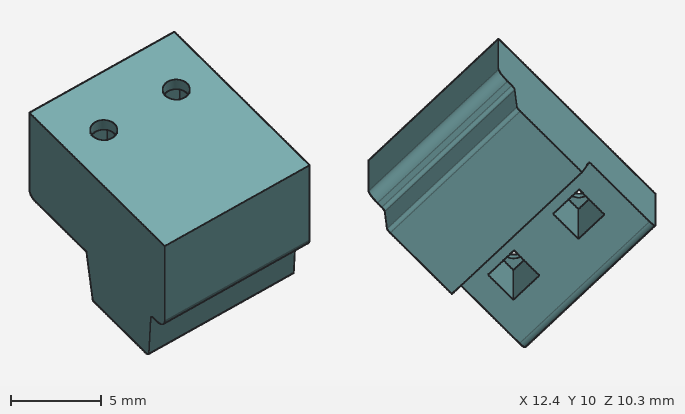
import cadquery as cq

LENGTH = 12.4
DEPTH = 10.0
HEIGHT = 10.3
FOOT_HEIGHT = 3.5

FOOT_LEFT_TOP = 5.22
FOOT_LEFT_BOTTOM = 5.8
FOOT_RIGHT_TOP = 11.14
FOOT_RIGHT_BOTTOM = 10.94

LEFT_CORNER_RADIUS = 0.5
RIGHT_CORNER_RADIUS = 0.7
FOOT_ROOT_RADIUS = 0.25
FOOT_TIP_RADIUS = 0.25

HOLE_DIAMETER = 1.5
HOLE_X = 3.5
HOLE_SPACING = 5.0
HOLE_DEPTH = 0.8
POCKET_WIDTH = 2.0


def round_edge(body, x, z, radius):
    """Fillet the edge along Y that passes through (x, z)."""
    return body.edges(cq.NearestToPointSelector((x, DEPTH / 2, z))).fillet(radius)


def make_body():
    """Block with a tapered foot, as one profile extruded along Y from Y = 0."""
    outline = [
        (0, HEIGHT),
        (0, FOOT_HEIGHT),
        (FOOT_LEFT_TOP, FOOT_HEIGHT),
        (FOOT_LEFT_BOTTOM, 0),
        (FOOT_RIGHT_BOTTOM, 0),
        (FOOT_RIGHT_TOP, FOOT_HEIGHT),
        (LENGTH, FOOT_HEIGHT),
        (LENGTH, HEIGHT),
    ]
    body = cq.Workplane("XZ").polyline(outline).close().extrude(-DEPTH)
    body = round_edge(body, 0, FOOT_HEIGHT, LEFT_CORNER_RADIUS)
    body = round_edge(body, LENGTH, FOOT_HEIGHT, RIGHT_CORNER_RADIUS)
    body = round_edge(body, FOOT_RIGHT_TOP, FOOT_HEIGHT, FOOT_ROOT_RADIUS)
    return round_edge(body, FOOT_RIGHT_BOTTOM, 0, FOOT_TIP_RADIUS)


def make_pin_hole(y):
    """Round hole in the top that opens into a square pocket running out of the underside."""
    pocket_top = HEIGHT - HOLE_DEPTH
    hole = (
        cq.Workplane("XY", origin=(HOLE_X, y, pocket_top))
        .circle(HOLE_DIAMETER / 2)
        .extrude(HOLE_DEPTH)
    )
    pocket = (
        cq.Workplane("XY", origin=(HOLE_X, y, FOOT_HEIGHT))
        .rect(POCKET_WIDTH, POCKET_WIDTH)
        .extrude(pocket_top - FOOT_HEIGHT)
    )
    return hole.union(pocket)


result = make_body()
for side in (-1, 1):
    result = result.cut(make_pin_hole(DEPTH / 2 + side * HOLE_SPACING / 2))